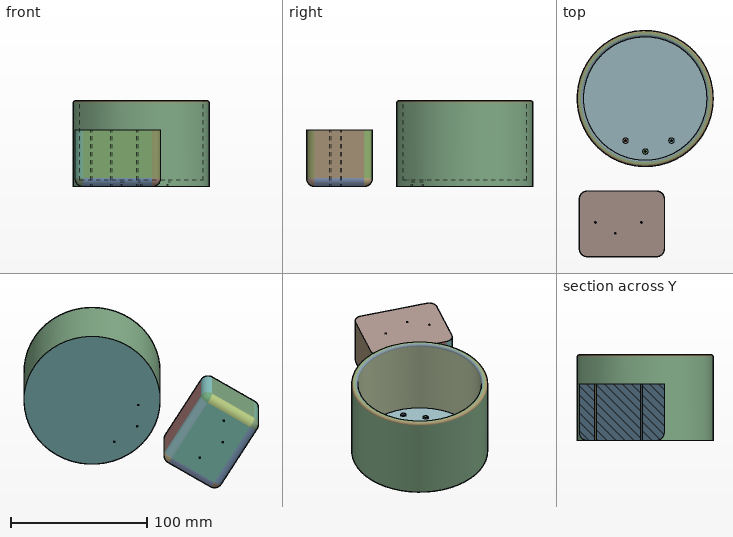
import cadquery as cq

cup_diameter = 100.0
bore_diameter = 90.5
cup_height = 63.0
floor_thickness = 5.0
rim_radius = 1.7

total_depth = 166.0
block_length = 62.5
block_depth = 48.3
block_height = 41.7
block_edge_radius = 6.0
block_center_x = -17.1
block_center_y = cup_diameter / 2 - total_depth + block_depth / 2

hole_diameter = 1.0
counterbore_diameter = 4.0
counterbore_depth = 1.7
front_hole_y = -38.8
rear_hole_y = -30.9
cup_hole_points = [
    (-14.5, rear_hole_y),
    (0.2, front_hole_y),
    (19.3, rear_hole_y),
]

pattern_shift_x = -22.0
pattern_shift_y = -60.0
block_hole_points = [(x + pattern_shift_x, y + pattern_shift_y) for x, y in cup_hole_points]


def make_cup():
    """Cup with a rounded rim and counterbored holes in its floor."""
    cup = cq.Workplane("XY").circle(cup_diameter / 2).extrude(cup_height)
    bore = (
        cq.Workplane("XY")
        .workplane(offset=floor_thickness)
        .circle(bore_diameter / 2)
        .extrude(cup_height - floor_thickness)
    )
    cup = cup.cut(bore)
    cup = cup.faces(">Z").edges().fillet(rim_radius)
    return (
        cup.copyWorkplane(cq.Workplane("XY", origin=(0, 0, floor_thickness)))
        .pushPoints(cup_hole_points)
        .cboreHole(hole_diameter, counterbore_diameter, counterbore_depth, floor_thickness)
    )


def make_block():
    """Block with rounded upright and bottom edges, a flat top and through holes."""
    block = (
        cq.Workplane("XY")
        .center(block_center_x, block_center_y)
        .rect(block_length, block_depth)
        .extrude(block_height)
    )
    block = block.edges("|Z or <Z").fillet(block_edge_radius)
    return (
        block.copyWorkplane(cq.Workplane("XY", origin=(0, 0, block_height)))
        .pushPoints(block_hole_points)
        .hole(hole_diameter, block_height)
    )


cup = make_cup()
block = make_block()

result = cq.Compound.makeCompound([cup.val(), block.val()])